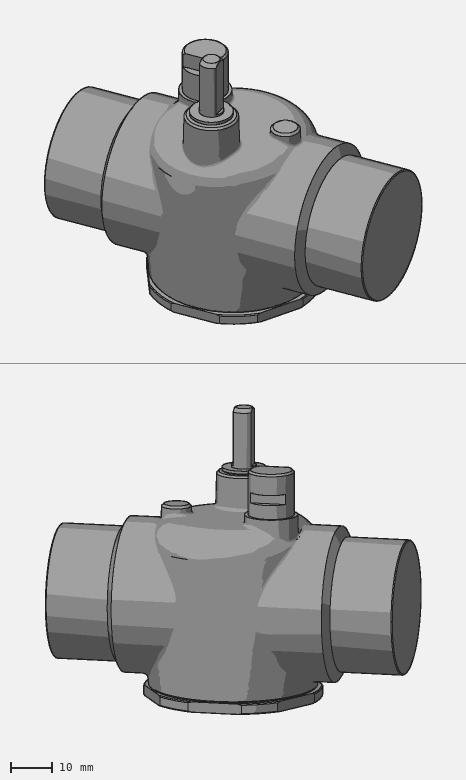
import cadquery as cq
import math

PIPE_LENGTH = 86.0
PIPE_RADIUS = 16.4
PIPE_END_CHAMFER = 0.3
COLLAR_RADIUS = 19.0
COLLAR_HALF_LENGTH = 27.6
COLLAR_CHAMFER_LENGTH = 1.55

BODY_RADIUS = 21.2
BODY_FOOT_RADIUS = 20.55
BODY_FOOT_Z = -20.9
SHOULDER_RADIUS = 20.6
SHOULDER_Z = 13.8
DOME_TOP_Z = 20.55
DOME_FLAT_RADIUS = 13.4
DOME_CURVE_RADIUS = 7.05
PORT_FILLET = 1.3
BOSS_FILLET = 0.9

CAP_BOTTOM_Z = -23.8
CAP_TOP_Z = -21.2
CAP_ACROSS_FLATS = 41.3
CAP_CORNER_RADIUS = 21.7
CAP_CORNER_CHAMFER = 0.3
CAP_NECK_RADIUS = 20.2

BOSS_ROOT_Z = 10.3
BOSS_DRAFT = 1.5

SPINDLE_CENTER = (0.0, -11.9)
SPINDLE_BOSS_RADIUS = 6.6
SPINDLE_BOSS_TOP_Z = 29.2
SPINDLE_BOSS_CHAMFER = 0.5
SEAL_RADIUS = 5.3
SEAL_BOTTOM_Z = 29.5
SEAL_TOP_Z = 30.3
SEAL_NECK_RADIUS = 4.9
SPINDLE_RADIUS = 3.0
SPINDLE_ACROSS_FLATS = 4.5
SPINDLE_FLATS_Z = 30.8
SPINDLE_TOP_Z = 45.1
SPINDLE_CHAMFER = 0.95

STUD_CENTER = (-10.9, 6.8)
STUD_BOSS_RADIUS = 6.45
STUD_BOSS_TOP_Z = 23.05
STUD_RADIUS = 5.6
STUD_TOP_Z = 34.1
STUD_CHAMFER = 0.5
STUD_FLAT_OFFSET = 3.5
STUD_FLAT_BOTTOM_Z = 30.3
STUD_SLOT_OFFSET = 3.5
STUD_SLOT_BOTTOM_Z = 26.5
STUD_SLOT_TOP_Z = 29.0

STOP_CENTER = (14.1, 0.0)
STOP_RADIUS = 3.6
STOP_TOP_Z = 23.05
STOP_CHAMFER = 0.6

CONTACT_TOLERANCE = 0.0001


def cylinder(center, radius, bottom, top):
    """Upright cylinder between two heights."""
    base = cq.Workplane("XY", origin=(center[0], center[1], bottom))
    return base.circle(radius).extrude(top - bottom)


def tapered_boss(center, top_radius, top):
    """Boss that widens downwards from its top to the common root height."""
    plane = cq.Workplane("XY", origin=(center[0], center[1], top)).transformed(rotate=(180, 0, 0))
    return plane.circle(top_radius).extrude(top - BOSS_ROOT_Z, taper=-BOSS_DRAFT)


def make_body():
    def bulge(radius_end, z_end):
        """Point half-way up a shallow arc that is tangent to the vertical at Z = 0."""
        mid_radius = BODY_RADIUS - (BODY_RADIUS - radius_end) / 4
        return (mid_radius, z_end / 2)

    profile = (
        cq.Workplane("XZ")
        .moveTo(0, BODY_FOOT_Z)
        .lineTo(BODY_FOOT_RADIUS, BODY_FOOT_Z)
        .threePointArc(bulge(BODY_FOOT_RADIUS, BODY_FOOT_Z), (BODY_RADIUS, 0))
        .threePointArc(bulge(SHOULDER_RADIUS, SHOULDER_Z), (SHOULDER_RADIUS, SHOULDER_Z))
        .radiusArc((DOME_FLAT_RADIUS, DOME_TOP_Z), -DOME_CURVE_RADIUS)
        .lineTo(0, DOME_TOP_Z)
        .close()
    )
    return profile.revolve(360, (0, 0, 0), (0, 1, 0))


def make_collar():
    collar = cq.Workplane("YZ").circle(COLLAR_RADIUS).extrude(COLLAR_HALF_LENGTH, both=True)
    step = COLLAR_RADIUS - PIPE_RADIUS
    return collar.edges().chamfer(COLLAR_CHAMFER_LENGTH, step)


def make_pipe():
    pipe = cq.Workplane("YZ").circle(PIPE_RADIUS).extrude(PIPE_LENGTH / 2, both=True)
    return pipe.edges().chamfer(PIPE_END_CHAMFER)


def make_cap():
    hexagon = (
        cq.Workplane("XY", origin=(0, 0, CAP_BOTTOM_Z))
        .polygon(6, CAP_ACROSS_FLATS / math.cos(math.pi / 6))
        .extrude(CAP_TOP_Z - CAP_BOTTOM_Z)
    )
    disc = cylinder((0, 0), CAP_CORNER_RADIUS, CAP_BOTTOM_Z, CAP_TOP_Z)
    cap = hexagon.intersect(disc.edges("%CIRCLE").chamfer(CAP_CORNER_CHAMFER))
    return cap.union(cylinder((0, 0), CAP_NECK_RADIUS, CAP_BOTTOM_Z, 0))


def make_spindle():
    neck = cylinder(SPINDLE_CENTER, SEAL_NECK_RADIUS, BOSS_ROOT_Z, SEAL_TOP_Z)
    seal = cylinder(SPINDLE_CENTER, SEAL_RADIUS, SEAL_BOTTOM_Z, SEAL_TOP_Z)
    shaft = cylinder(SPINDLE_CENTER, SPINDLE_RADIUS, BOSS_ROOT_Z, SPINDLE_TOP_Z)
    shaft = shaft.faces(">Z").chamfer(SPINDLE_CHAMFER)
    flat_length = SPINDLE_TOP_Z - SPINDLE_FLATS_Z
    for side in (-1, 1):
        x_middle = SPINDLE_CENTER[0] + side * (SPINDLE_ACROSS_FLATS + SPINDLE_RADIUS) / 2
        cutter = cq.Workplane("XY", origin=(x_middle, SPINDLE_CENTER[1], SPINDLE_FLATS_Z)).box(
            SPINDLE_RADIUS, 2 * SPINDLE_RADIUS, flat_length, centered=(True, True, False)
        )
        shaft = shaft.cut(cutter)
    return neck.union(seal).union(shaft)


def make_stud():
    stud = cylinder(STUD_CENTER, STUD_RADIUS, BOSS_ROOT_Z, STUD_TOP_Z)
    stud = stud.faces(">Z").chamfer(STUD_CHAMFER)

    def side_cutter(y_offset, bottom, top):
        origin = (STUD_CENTER[0], STUD_CENTER[1] + y_offset, bottom)
        reach = math.copysign(STUD_RADIUS, y_offset)
        outline = cq.Workplane("XY", origin=origin).moveTo(-STUD_RADIUS, 0).lineTo(STUD_RADIUS, 0)
        outline = outline.lineTo(STUD_RADIUS, reach).lineTo(-STUD_RADIUS, reach).close()
        return outline.extrude(top - bottom)

    stud = stud.cut(side_cutter(-STUD_FLAT_OFFSET, STUD_FLAT_BOTTOM_Z, STUD_TOP_Z))
    return stud.cut(side_cutter(STUD_SLOT_OFFSET, STUD_SLOT_BOTTOM_Z, STUD_SLOT_TOP_Z))


def blend_in(solid, addition, radius):
    """Join an addition to a solid and fillet the line where the two surfaces meet."""
    joined = solid.union(addition)

    def on_both(edge):
        midpoint = cq.Vertex.makeVertex(*edge.positionAt(0.5).toTuple())
        return all(
            min(face.distance(midpoint) for face in part.faces().vals()) < CONTACT_TOLERANCE
            for part in (solid, addition)
        )

    seam = [edge for edge in joined.edges().vals() if on_both(edge)]
    return joined.newObject(seam).fillet(radius)


spindle_boss = tapered_boss(SPINDLE_CENTER, SPINDLE_BOSS_RADIUS, SPINDLE_BOSS_TOP_Z)
spindle_boss = spindle_boss.faces(">Z").chamfer(SPINDLE_BOSS_CHAMFER)
stud_boss = tapered_boss(STUD_CENTER, STUD_BOSS_RADIUS, STUD_BOSS_TOP_Z)
stop_boss = tapered_boss(STOP_CENTER, STOP_RADIUS, STOP_TOP_Z)
stop_boss = stop_boss.faces(">Z").chamfer(STOP_CHAMFER)

housing = blend_in(make_body(), make_collar(), PORT_FILLET)
for boss in (spindle_boss, stop_boss, stud_boss):
    housing = blend_in(housing, boss, BOSS_FILLET)

result = housing
for part in (make_pipe(), make_cap(), make_spindle(), make_stud()):
    result = result.union(part)